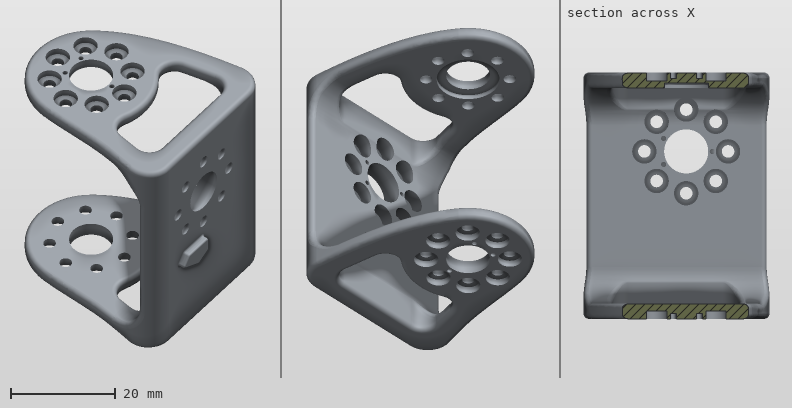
import cadquery as cq
import math

height = 47.0
nose_radius = 12.7
back_x = 27.02
side_y_max = 19.6
side_y_min = -15.9
corner_radius = 5.0
arm_thickness = 2.9
wall_thickness = 4.0
inner_radius = 7.0
edge_radius = 1.0

nose_upper_angle = 127.0
nose_lower_angle = 261.0
corner_upper_angle = 97.5
corner_lower_angle = 256.5
lower_flank_point = (12.85, -14.05)

window_right_x = 22.4
window_corner_radius = 3.0
hub_radius = 12.92
window_upper_right_y = 11.2
window_lower_right_y = -7.05
window_upper_left_angle = 38.6
window_lower_left_angle = -22.6

bore_diameter = 8.4
bolt_circle_radius = 8.0
bolt_count = 8
bolt_diameter = 2.4
counterbore_diameter = 4.65
counterbore_floor = 1.45
pin_circle_radius = 5.0
pin_diameter = 1.0
pin_depth = 1.0
pin_angles = (0, 150, 210)
wall_pattern_z = 8.45
wall_pattern_turn = 90
arm_clearance = 0.45
wall_clearance = inner_radius

recess_diameter = 12.05
recess_depth = 0.95

badge_corners = [(-0.15, -3.0), (-6.25, -3.0), (-8.15, -5.3), (-3.3, -7.6), (-0.15, -6.1)]
badge_height = 1.35
badge_corner_radius = 0.55
badge_edge_radius = 0.38

tolerance = 0.005
badge_top_z = max(z for _, z in badge_corners)
badge_bottom_z = min(z for _, z in badge_corners)
inner_x = back_x - wall_thickness
inner_height = height - 2 * arm_thickness


def polar(center, radius, degrees):
    """Point at a radius and direction from a centre."""
    angle = math.radians(degrees)
    return (center[0] + radius * math.cos(angle), center[1] + radius * math.sin(angle))


def direction(degrees):
    """Unit vector along a direction."""
    return polar((0, 0), 1, degrees)


def plan_body():
    """Full-height block with the teardrop plan outline."""
    origin = (0, 0)
    corner_x = back_x - corner_radius
    upper_corner = (corner_x, side_y_max - corner_radius)
    lower_corner = (corner_x, side_y_min + corner_radius)
    upper_flank_end = polar(upper_corner, corner_radius, corner_upper_angle)
    lower_flank_start = polar(origin, nose_radius, nose_lower_angle)
    lower_flank_end = polar(lower_corner, corner_radius, corner_lower_angle)
    return (
        cq.Workplane("XY", origin=(0, 0, -height / 2))
        .moveTo(*polar(origin, nose_radius, nose_upper_angle))
        .spline(
            [upper_flank_end],
            tangents=[direction(nose_upper_angle - 90), direction(corner_upper_angle - 90)],
            includeCurrent=True,
        )
        .threePointArc(polar(upper_corner, corner_radius, corner_upper_angle / 2), (back_x, upper_corner[1]))
        .lineTo(back_x, lower_corner[1])
        .threePointArc(polar(lower_corner, corner_radius, (corner_lower_angle - 360) / 2), lower_flank_end)
        .spline(
            [lower_flank_point, lower_flank_start],
            tangents=[direction(corner_lower_angle - 90), direction(nose_lower_angle - 90)],
            includeCurrent=True,
        )
        .threePointArc((-nose_radius, 0), polar(origin, nose_radius, nose_upper_angle))
        .close()
        .extrude(height)
    )


def channel():
    """Space between the arms, rounded where they meet the wall."""
    length = inner_x + 2 * nose_radius
    return (
        cq.Workplane("XY")
        .box(length, 4 * side_y_max, inner_height)
        .edges("|Y and >X")
        .fillet(inner_radius)
        .translate((inner_x - length / 2, 0, 0))
    )


def windows():
    """Cutter for the window through both arms, curved around the servo hub."""
    origin = (0, 0)
    radius = window_corner_radius
    upper_left = polar(origin, hub_radius + radius, window_upper_left_angle)
    lower_left = polar(origin, hub_radius + radius, window_lower_left_angle)
    upper_right = (window_right_x - radius, window_upper_right_y)
    lower_right = (window_right_x - radius, window_lower_right_y)
    upper_normal = 90 + math.degrees(
        math.atan2(upper_right[1] - upper_left[1], upper_right[0] - upper_left[0])
    )
    lower_normal = -90 + math.degrees(
        math.atan2(lower_right[1] - lower_left[1], lower_right[0] - lower_left[0])
    )
    upper_hub_side = window_upper_left_angle + 180
    lower_hub_side = window_lower_left_angle - 180
    return (
        cq.Workplane("XY", origin=(0, 0, -height))
        .moveTo(*polar(upper_left, radius, upper_normal))
        .lineTo(*polar(upper_right, radius, upper_normal))
        .threePointArc(polar(upper_right, radius, upper_normal / 2), (window_right_x, upper_right[1]))
        .lineTo(window_right_x, lower_right[1])
        .threePointArc(
            polar(lower_right, radius, lower_normal / 2), polar(lower_right, radius, lower_normal)
        )
        .lineTo(*polar(lower_left, radius, lower_normal))
        .threePointArc(
            polar(lower_left, radius, (lower_normal + lower_hub_side) / 2),
            polar(lower_left, radius, lower_hub_side),
        )
        .threePointArc((hub_radius, 0), polar(origin, hub_radius, window_upper_left_angle))
        .threePointArc(
            polar(upper_left, radius, (upper_normal + upper_hub_side) / 2),
            polar(upper_left, radius, upper_normal),
        )
        .close()
        .extrude(2 * height)
    )


def is_channel_rim(edge):
    """True for sharp edges of the channel surface, False for its smooth seams."""
    box = edge.BoundingBox()
    inside = max(abs(box.zmin), abs(box.zmax)) < inner_height / 2 + tolerance
    along_y = box.xlen < tolerance and box.zlen < tolerance
    window_sill = along_y and abs(box.xmax - window_right_x) < tolerance
    return inside and (window_sill or not along_y)


def horn_holes(thickness, clearance):
    """Servo horn cutter: outer face at Z = 0, plate below it, clearance above it."""
    depth = thickness + clearance
    bolts = cq.Workplane("XY").polarArray(bolt_circle_radius, 0, 360, bolt_count)
    cutter = cq.Workplane("XY").circle(bore_diameter / 2).extrude(depth)
    cutter = cutter.union(bolts.circle(bolt_diameter / 2).extrude(depth))
    cutter = cutter.translate((0, 0, -thickness))
    counterbores = (
        cq.Workplane("XY", origin=(0, 0, counterbore_floor - thickness))
        .polarArray(bolt_circle_radius, 0, 360, bolt_count)
        .circle(counterbore_diameter / 2)
        .extrude(depth - counterbore_floor)
    )
    pins = (
        cq.Workplane("XY", origin=(0, 0, -pin_depth))
        .pushPoints([polar((0, 0), pin_circle_radius, angle) for angle in pin_angles])
        .circle(pin_diameter / 2)
        .extrude(pin_depth)
    )
    return cutter.union(counterbores).union(pins)


def upper_arm_recess():
    """Shallow disc cut around the bore in the inner face of the upper arm."""
    return (
        cq.Workplane("XY", origin=(0, 0, inner_height / 2))
        .circle(recess_diameter / 2)
        .extrude(recess_depth)
    )


def badge():
    """Raised rounded pad on the outer face of the wall."""
    return (
        cq.Workplane("YZ", origin=(back_x, 0, 0))
        .polyline(badge_corners)
        .close()
        .extrude(badge_height)
        .edges("|X")
        .fillet(badge_corner_radius)
        .faces(">X")
        .edges()
        .fillet(badge_edge_radius)
    )


def is_badge_foot(edge):
    """True for the edges where the badge stands on the wall."""
    box = edge.BoundingBox()
    on_wall = box.xmin > back_x - tolerance and box.xmax < back_x + tolerance
    in_badge_height = box.zmax < badge_top_z + tolerance and box.zmin > badge_bottom_z - tolerance
    return on_wall and in_badge_height


result = plan_body().cut(channel()).cut(windows())
result = result.faces("<Z or >Z").edges().fillet(edge_radius)
result = result.edges().filter(is_channel_rim).fillet(edge_radius)

arm_holes = horn_holes(arm_thickness, arm_clearance).translate((0, 0, height / 2))
wall_holes = (
    horn_holes(wall_thickness, wall_clearance)
    .rotate((0, 0, 0), (0, 1, 0), -90)
    .rotate((0, 0, 0), (1, 0, 0), wall_pattern_turn)
    .translate((inner_x, 0, wall_pattern_z))
)
result = result.cut(arm_holes).cut(arm_holes.mirror("XY")).cut(wall_holes)
result = result.cut(upper_arm_recess())

result = result.union(badge())
result = result.edges().filter(is_badge_foot).fillet(badge_edge_radius)